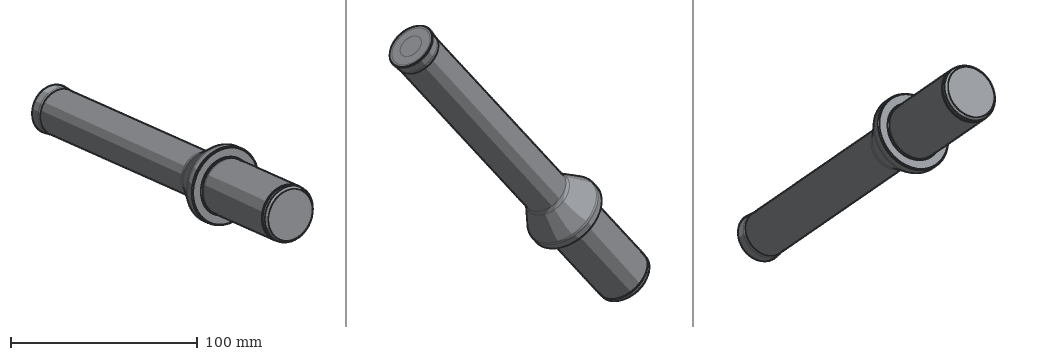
import math

import cadquery as cq

tip_corner_length = 0.7
tip_taper_break = 5.5
tip_length = 7.5
flare_start = 138.5
cone_start = 141.2
cone_end = 155.8
collar_start = 157.2
collar_end = 161.8
neck_taper_start = 162.5
neck_end = 163.8
shank_step_start = 218.0
total_length = 222.0

tip_diameter = 27.3
tip_break_diameter = 26.5
tip_face_diameter = 24.0
tip_edge_diameter = 26.6
bar_diameter = 26.0
collar_diameter = 44.0
shank_diameter = 32.0
relief_diameter = 31.5
dimple_diameter = 13.3

dimple_depth = 0.5
face_setback = 0.2
collar_chamfer = 0.7
neck_root_chamfer = 0.7
shank_step_length = 0.7
end_chamfer = 1.3

flare_angle = math.radians(28.6)
bar_blend_length = cone_start - flare_start
collar_blend_length = collar_start - cone_end
bar_blend_radius = bar_blend_length / math.sin(flare_angle)
collar_blend_radius = collar_blend_length / math.sin(flare_angle)
bar_blend_rise = bar_blend_length * math.tan(flare_angle / 2)
collar_blend_rise = collar_blend_length * math.tan(flare_angle / 2)


def make_tip():
    """Slightly enlarged working tip with a shallow conical dimple in its face."""
    return (
        cq.Workplane("XY")
        .moveTo(dimple_depth, 0)
        .lineTo(0, dimple_diameter / 2)
        .lineTo(face_setback, tip_face_diameter / 2)
        .lineTo(face_setback, tip_edge_diameter / 2)
        .lineTo(tip_corner_length, tip_diameter / 2)
        .lineTo(tip_taper_break, tip_break_diameter / 2)
        .lineTo(tip_length, bar_diameter / 2)
        .lineTo(tip_length, 0)
        .close()
        .revolve(360, (0, 0, 0), (1, 0, 0))
    )


def make_holder():
    """Slim bar, flared collar and clamping shank turned from one piece."""
    bar_radius = bar_diameter / 2
    collar_radius = collar_diameter / 2
    shank_radius = shank_diameter / 2
    relief_radius = relief_diameter / 2
    return (
        cq.Workplane("XY")
        .moveTo(tip_length, 0)
        .lineTo(tip_length, bar_radius)
        .lineTo(flare_start, bar_radius)
        .radiusArc((cone_start, bar_radius + bar_blend_rise), -bar_blend_radius)
        .lineTo(cone_end, collar_radius - collar_blend_rise)
        .radiusArc((collar_start, collar_radius), collar_blend_radius)
        .lineTo(collar_end - collar_chamfer, collar_radius)
        .lineTo(collar_end, collar_radius - collar_chamfer)
        .lineTo(collar_end, relief_radius + neck_root_chamfer)
        .lineTo(neck_taper_start, relief_radius)
        .lineTo(neck_end, shank_radius)
        .lineTo(shank_step_start, shank_radius)
        .lineTo(shank_step_start + shank_step_length, relief_radius)
        .lineTo(total_length - end_chamfer, relief_radius)
        .lineTo(total_length, relief_radius - end_chamfer)
        .lineTo(total_length, 0)
        .close()
        .revolve(360, (0, 0, 0), (1, 0, 0))
    )


tip = make_tip()
holder = make_holder()

result = cq.Compound.makeCompound([tip.val(), holder.val()])